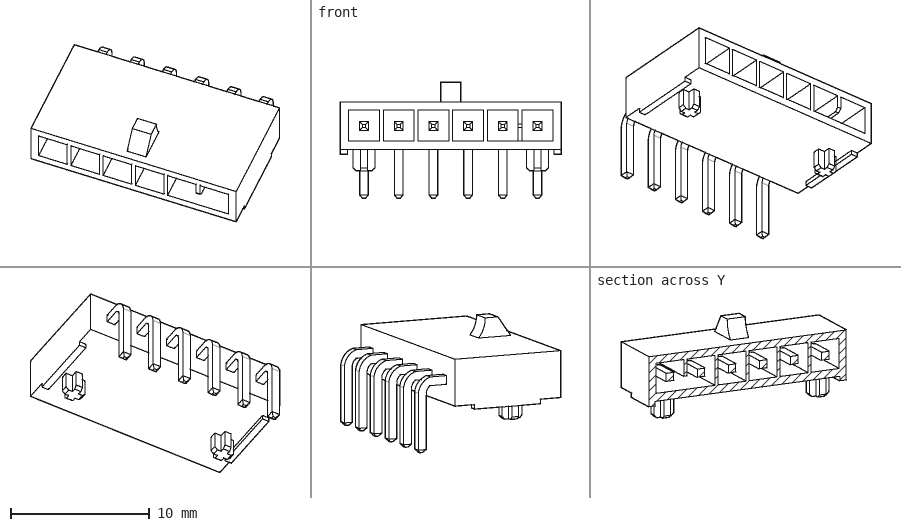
import cadquery as cq


body_length = 15.94
body_depth = 8.43
body_height = 3.45

pin_count = 6
pitch = 2.5
pin_xs = [(i - (pin_count - 1) / 2) * pitch for i in range(pin_count)]

cavity_size = 2.22
cavity_z = 1.74
cavity_depth = 6.7
web_thickness = pitch - cavity_size

key_slot_height = 0.97
key_slot_depth = 4.78
key_chamfer = 0.25

latch_width = 1.47
latch_height = 1.43
latch_front_y = 0.59
latch_top_front_y = 1.6
latch_top_back_y = 2.61
latch_back_y = 3.14
latch_back_run = latch_back_y - latch_top_back_y
latch_back_radius = (latch_back_run**2 + latch_height**2) / (2 * latch_back_run)

standoff_width = 0.54
standoff_height = 0.33
standoff_front_y = 1.61
standoff_back_y = 6.87

peg_span = 1.6
peg_rib = 0.53
peg_length = 1.53
peg_chamfer = 0.22
peg_y = 3.2

pin_size = 0.64
pin_z = 1.7
pin_reach = 2.26
pin_drop = 3.5
pin_front_y = 1.91

bend_run = 0.95
bend_fall = 1.12
bend_radius = 1.34

tip_length = 0.24
tip_size = 0.24


def block(x_center, width, y_min, y_max, z_min, z_max):
    """Box centred on x_center, with explicit limits in Y and Z."""
    return (
        cq.Workplane("XY")
        .box(width, y_max - y_min, z_max - z_min, centered=(True, False, False))
        .translate((x_center, y_min, z_min))
    )


def extrude_along_x(profile, width):
    """Extrude a closed YZ profile symmetrically about X = 0."""
    return profile.extrude(width / 2, both=True)


def make_cavity(x):
    half = cavity_size / 2
    return block(x, cavity_size, 0, cavity_depth, cavity_z - half, cavity_z + half)


def make_key_slot():
    """Opening in the lower part of the web, with a bevelled lead-in at its front top edge."""
    floor_z = cavity_z - cavity_size / 2
    ceiling_z = floor_z + key_slot_height
    profile = (
        cq.Workplane("YZ")
        .moveTo(0, floor_z)
        .lineTo(key_slot_depth, floor_z)
        .lineTo(key_slot_depth, ceiling_z)
        .lineTo(key_chamfer, ceiling_z)
        .lineTo(0, ceiling_z + key_chamfer)
        .close()
    )
    web_x = (pin_xs[-2] + pin_xs[-1]) / 2
    return extrude_along_x(profile, web_thickness).translate((web_x, 0, 0))


def make_latch():
    """Ramp at the front and a concave back that is vertical at the top."""
    top_z = body_height + latch_height
    profile = (
        cq.Workplane("YZ")
        .moveTo(latch_back_y, body_height)
        .lineTo(latch_front_y, body_height)
        .lineTo(latch_top_front_y, top_z)
        .lineTo(latch_top_back_y, top_z)
        .radiusArc((latch_back_y, body_height), -latch_back_radius)
        .close()
    )
    return extrude_along_x(profile, latch_width)


def make_standoff(side):
    x = side * (body_length - standoff_width) / 2
    return block(x, standoff_width, standoff_front_y, standoff_back_y, -standoff_height, 0)


def make_peg(x):
    half = peg_span / 2
    rib = (
        cq.Workplane("XZ")
        .moveTo(-half, 0)
        .lineTo(-half, peg_chamfer - peg_length)
        .lineTo(peg_chamfer - half, -peg_length)
        .lineTo(half - peg_chamfer, -peg_length)
        .lineTo(half, peg_chamfer - peg_length)
        .lineTo(half, 0)
        .close()
        .extrude(peg_rib / 2, both=True)
    )
    cross = rib.union(rib.rotate((0, 0, 0), (0, 0, 1), 90))
    return cross.translate((x, peg_y, 0))


def make_pin_tip():
    """Square taper pointing along -Z, with its base centred on the origin."""
    return (
        cq.Workplane("XY")
        .rect(pin_size, pin_size)
        .workplane(offset=-tip_length)
        .rect(tip_size, tip_size)
        .loft()
    )


def make_pin():
    """Pin at X = 0: straight contact, bend and solder tail, tapered at both ends."""
    half = pin_size / 2
    outer_y = body_depth + pin_reach
    inner_y = outer_y - pin_size
    top_z = pin_z + half
    bottom_z = pin_z - half
    bend_y = outer_y - bend_run
    bend_z = top_z - bend_fall
    shank_front_y = pin_front_y + tip_length
    shank_bottom_z = tip_length - pin_drop
    profile = (
        cq.Workplane("YZ")
        .moveTo(shank_front_y, bottom_z)
        .lineTo(shank_front_y, top_z)
        .lineTo(bend_y, top_z)
        .radiusArc((outer_y, bend_z), bend_radius)
        .lineTo(outer_y, shank_bottom_z)
        .lineTo(inner_y, shank_bottom_z)
        .lineTo(inner_y, bend_z)
        .radiusArc((bend_y, bottom_z), -(bend_radius - pin_size))
        .close()
    )
    contact_tip = make_pin_tip().rotate((0, 0, 0), (1, 0, 0), -90).translate((0, shank_front_y, pin_z))
    tail_tip = make_pin_tip().translate((0, outer_y - half, shank_bottom_z))
    return extrude_along_x(profile, pin_size).union(contact_tip).union(tail_tip)


result = block(0, body_length, 0, body_depth, 0, body_height)

for x in pin_xs:
    result = result.cut(make_cavity(x))
result = result.cut(make_key_slot())

result = result.union(make_latch())
for side in (-1, 1):
    result = result.union(make_standoff(side))
for x in (pin_xs[0], pin_xs[-1]):
    result = result.union(make_peg(x))

pin = make_pin()
for x in pin_xs:
    result = result.union(pin.translate((x, 0, 0)))